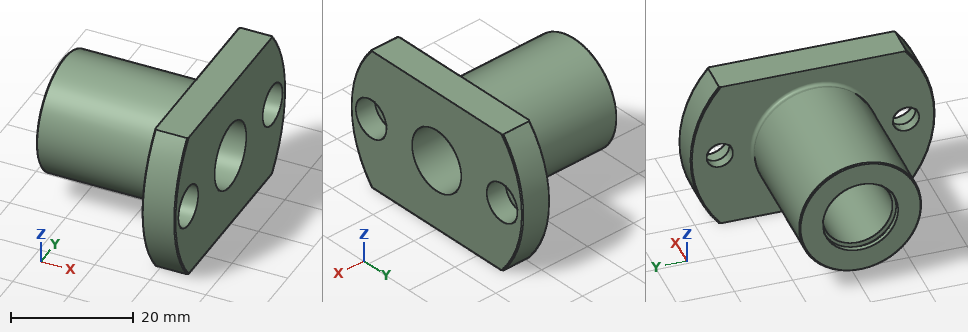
import cadquery as cq

total_length = 30.0
flange_thickness = 6.0
flange_diameter = 42.0
flange_height = 27.0
sleeve_diameter = 21.0

bore_diameter = 12.0
mouth_diameter = 12.9
mouth_length = 1.0
groove_diameter = 14.0
groove_width = 0.5

mounting_hole_diameter = 4.5
mounting_hole_length = 1.9
head_recess_diameter = 7.5
mounting_hole_spacing = 32.0

sleeve_chamfer = 0.2
flange_chamfer = 0.2

relief_length = 1.3
relief_taper_length = 0.7
relief_depth = 0.2
relief_fillet = 0.5

flange_face_x = total_length - flange_thickness
flange_radius = flange_diameter / 2
sleeve_radius = sleeve_diameter / 2


def make_turned_body():
    """Sleeve, relief groove and round flange as one revolved profile about X."""
    relief_start_x = flange_face_x - relief_length
    relief_radius = sleeve_radius - relief_depth
    fillet_end = (flange_face_x, relief_radius + relief_fillet)
    profile = (
        cq.Workplane("XY")
        .moveTo(0, 0)
        .lineTo(0, sleeve_radius - sleeve_chamfer)
        .lineTo(sleeve_chamfer, sleeve_radius)
        .lineTo(relief_start_x, sleeve_radius)
        .lineTo(relief_start_x + relief_taper_length, relief_radius)
        .lineTo(flange_face_x - relief_fillet, relief_radius)
        .radiusArc(fillet_end, -relief_fillet)
        .lineTo(flange_face_x, flange_radius - flange_chamfer)
        .lineTo(flange_face_x + flange_chamfer, flange_radius)
        .lineTo(total_length - flange_chamfer, flange_radius)
        .lineTo(total_length, flange_radius - flange_chamfer)
        .lineTo(total_length, 0)
        .close()
    )
    return profile.revolve(360, (0, 0, 0), (1, 0, 0))


def trim_flange_flats(body):
    """Cut the round flange to two flats, above and below the axis."""
    envelope = cq.Workplane("XY").box(
        total_length, flange_diameter, flange_height, centered=(False, True, True)
    )
    return body.intersect(envelope)


def make_axial_cylinder(diameter, start_x, length, y=0):
    """Cylinder parallel to X that starts at start_x."""
    return cq.Workplane("YZ", origin=(start_x, y, 0)).circle(diameter / 2).extrude(length)


def cut_stepped_bore(body):
    """Through bore that widens to a mouth and a groove at the sleeve end."""
    body = body.cut(make_axial_cylinder(bore_diameter, 0, total_length))
    body = body.cut(make_axial_cylinder(mouth_diameter, 0, mouth_length))
    return body.cut(make_axial_cylinder(groove_diameter, mouth_length, groove_width))


def cut_mounting_holes(body):
    """Two counterbored holes through the flange, one on each side of the sleeve."""
    recess_start_x = flange_face_x + mounting_hole_length
    recess_depth = flange_thickness - mounting_hole_length
    for side in (-1, 1):
        y = side * mounting_hole_spacing / 2
        hole = make_axial_cylinder(mounting_hole_diameter, flange_face_x, flange_thickness, y)
        recess = make_axial_cylinder(head_recess_diameter, recess_start_x, recess_depth, y)
        body = body.cut(hole).cut(recess)
    return body


result = make_turned_body()
result = trim_flange_flats(result)
result = cut_stepped_bore(result)
result = cut_mounting_holes(result)